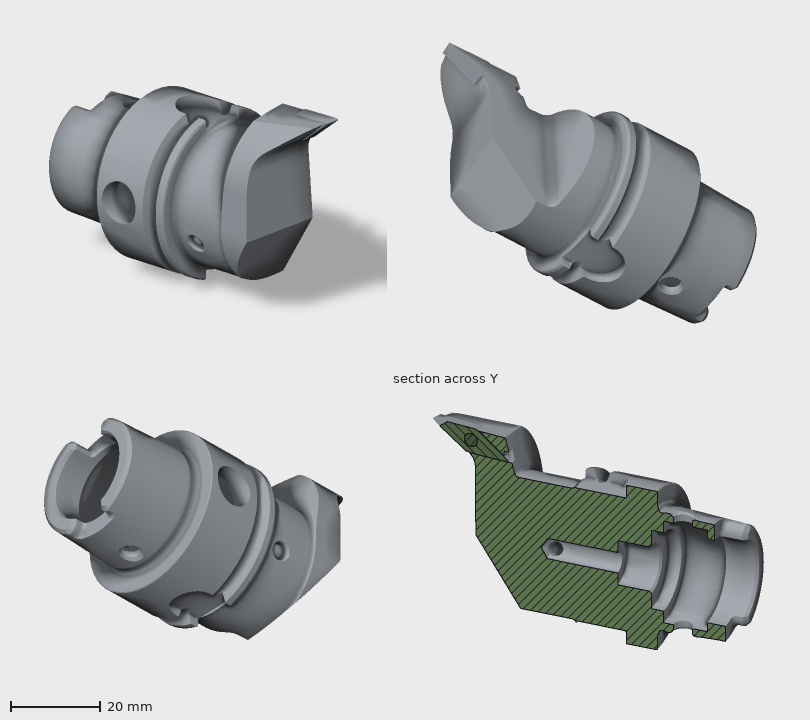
import cadquery as cq
import math


shank_length = 20.0
shank_end_radius = 14.2
shank_base_radius = 15.05
shank_base_x = -2.2
end_chamfer = 0.75
undercut_radius = 29.7 / 2
undercut_start_x = -1.3
undercut_end_x = -1.0
undercut_fillet = 0.64
face_relief_radius = 16.2

flange_radius = 20.0
flange_length = 20.0
flange_chamfer = 0.2
rim_fillet = 0.75
groove_radius = 17.3
groove_mouth_start = 13.9
groove_mouth_end = 17.9
groove_flank_run = 1.05
groove_fillet = 0.75
neck_radius = 33.0 / 2
neck_fillet = 1.0

bore_radius = 10.5
bore_chamfer = 0.45
bore_chamfer_length = 0.75
clamp_groove_radius = 12.7
clamp_groove_start_x = -12.1
clamp_groove_end_x = -1.5
floor_bore_radius = 9.8
floor_x = 1.5
tube_bore_radius = 11.0 / 2
tube_bore_chamfer = 0.5
tube_bore_end_x = 9.7
coolant_radius = 5.0 / 2
coolant_end_x = 27.0
drill_point_angle = 118.0
drill_cone_length = coolant_radius / math.tan(math.radians(drill_point_angle / 2))

drive_half_width = 4.0
drive_lip_z = 12.8
drive_lip_radius = 2.4
drive_floor_fillet = 1.0
drive_chamfer = 1.0
upper_drive_depth = 6.15
lower_drive_depth = 3.4

cross_hole_x = -6.15
cross_hole_radius = 4.6 / 2
cross_hole_mouth_radius = 2.8
cross_hole_wall_radius = 14.7
keyway_radius = 11.0 / 2
keyway_centre_x = 13.25
keyway_floor_z = 16.8
recess_x = 6.8
recess_radius = 10.0 / 2
recess_depth = 5.0
recess_fillet = 0.3

outlet_x = 25.8
outlet_angle = 21.6
outlet_mouth_radius = 5.0 / 2
outlet_radius = 4.2 / 2
channel_radius = 3.4 / 2
ball_radius = 3.8 / 2
ball_centre_distance = 14.1

head_start_x = 32.95
head_radius = 17.0
head_arc_z = 9.95
head_back_angle = 15.0
head_back_x = 34.75
head_front_x = 44.95
head_slope = 1.5
head_draft = 3.6
head_edge_radius = 4.5
head_nose_setback = 0.45
head_nose_drop = 0.11
head_reach = 44.95
head_depth = 37.45

rake_y = 5.25
rake_slope_x = -0.06
rake_slope_z = -0.08
relief_top_x = 26.4
relief_corner_x = 29.7
relief_corner_fillet = 2.25
relief_wall_depth = 12.0

tip = (55.1, 27.0)
inscribed_radius = 6.4 / 2
tip_angle = 35.0
tip_heading = 20.6
tip_radius = 0.3
insert_thickness = 3.15
insert_clearance = 5.0
half_tip = math.radians(tip_angle / 2)
insert_half_length = inscribed_radius / math.sin(half_tip)
insert_half_width = inscribed_radius / math.cos(half_tip)
tip_setback = insert_half_length - tip_radius * (1 / math.sin(half_tip) - 1)
insert_centre = (
    tip[0] - tip_setback * math.cos(math.radians(tip_heading)),
    tip[1] - tip_setback * math.sin(math.radians(tip_heading)),
)

notch_end_x = 37.8
notch_bottom_z = 19.9
notch_top_z = 22.4

screw_head_radius = 3.8 / 2
screw_hole_radius = 2.8 / 2
screw_radius = 2.5 / 2
screw_head_length = 1.1
screw_length = 7.5
tap_radius = 2.0 / 2
tap_depth = 10.55

rake_plane = cq.Plane(
    origin=(0, rake_y, 0),
    xDir=(1, rake_slope_x, 0),
    normal=(rake_slope_x, -1, rake_slope_z),
)


def rod(radius, length, start, direction):
    """A cylinder along any direction."""
    return cq.Workplane(cq.Solid.makeCylinder(radius, length, cq.Vector(*start), cq.Vector(*direction)))


def cone(start_radius, end_radius, length, start, direction):
    """A truncated cone along any direction."""
    return cq.Workplane(
        cq.Solid.makeCone(start_radius, end_radius, length, cq.Vector(*start), cq.Vector(*direction))
    )


def revolve_about_axis(outline):
    """Closes an outline drawn above the tool axis and turns it around that axis."""
    return outline.close().revolve(360, (0, 0, 0), (1, 0, 0))


def turned_body():
    """Taper shank, flange with its gripper groove, and the start of the front cylinder."""
    end_slope = (shank_base_radius - shank_end_radius) / (shank_length + shank_base_x)
    groove_floor_start = groove_mouth_start + groove_flank_run
    groove_floor_end = groove_mouth_end - groove_flank_run
    flank_angle = math.atan(groove_flank_run / (flange_radius - groove_radius))
    tangent_length = groove_fillet * math.tan((math.pi / 2 - flank_angle) / 2)
    flank_foot_run = tangent_length * math.sin(flank_angle)
    flank_foot_radius = groove_radius + tangent_length * math.cos(flank_angle)
    outline = (
        cq.Workplane("XY")
        .moveTo(-shank_length, 0)
        .lineTo(-shank_length, shank_end_radius - end_chamfer)
        .lineTo(-shank_length + end_chamfer, shank_end_radius + end_slope * end_chamfer)
        .lineTo(shank_base_x, shank_base_radius)
        .lineTo(undercut_start_x, undercut_radius)
        .lineTo(undercut_end_x, undercut_radius)
        .tangentArcPoint(
            (undercut_end_x + undercut_fillet, undercut_radius + undercut_fillet), relative=False
        )
        .lineTo(0, face_relief_radius)
        .lineTo(0, flange_radius - flange_chamfer)
        .lineTo(flange_chamfer, flange_radius)
        .lineTo(groove_mouth_start, flange_radius)
        .lineTo(groove_floor_start - flank_foot_run, flank_foot_radius)
        .tangentArcPoint((groove_floor_start + tangent_length, groove_radius), relative=False)
        .lineTo(groove_floor_end - tangent_length, groove_radius)
        .tangentArcPoint((groove_floor_end + flank_foot_run, flank_foot_radius), relative=False)
        .lineTo(groove_mouth_end, flange_radius)
        .lineTo(flange_length - rim_fillet, flange_radius)
        .tangentArcPoint((flange_length, flange_radius - rim_fillet), relative=False)
        .lineTo(flange_length, neck_radius + neck_fillet)
        .tangentArcPoint((flange_length + neck_fillet, neck_radius), relative=False)
        .lineTo(head_start_x, neck_radius)
        .lineTo(head_start_x, 0)
    )
    return revolve_about_axis(outline)


def head_blank():
    """Front cylinder that flares out along a cone into the tall tool head."""
    back = math.radians(head_back_angle)
    tangent_length = neck_fillet * math.tan((math.pi / 2 - back) / 2)
    cone_rise = head_reach - neck_radius
    outline = (
        cq.Workplane("XY")
        .moveTo(head_start_x, 0)
        .lineTo(head_start_x, neck_radius)
        .lineTo(head_back_x - tangent_length, neck_radius)
        .tangentArcPoint(
            (
                head_back_x + tangent_length * math.sin(back),
                neck_radius + tangent_length * math.cos(back),
            ),
            relative=False,
        )
        .lineTo(head_back_x + cone_rise * math.tan(back), head_reach)
        .lineTo(2 * head_reach, head_reach)
        .lineTo(2 * head_reach, 0)
    )
    cross_section = (
        cq.Workplane("YZ", origin=(head_start_x, 0, 0))
        .moveTo(-head_radius, 0)
        .threePointArc((0, -head_radius), (head_radius, 0))
        .lineTo(head_radius, head_arc_z)
        .threePointArc((0, head_arc_z + head_radius), (-head_radius, head_arc_z))
        .close()
        .extrude(head_reach)
    )
    return revolve_about_axis(outline).intersect(cross_section)


def head_side():
    """Side shape of the head, narrowing away from the rake face."""
    top_slope = math.tan(math.radians(tip_heading - tip_angle / 2))
    lead_slope = math.tan(math.radians(tip_heading + tip_angle / 2))
    nose_x = tip[0] - head_nose_setback
    nose_z = tip[1] - head_nose_drop
    back_x = head_start_x - head_depth
    slope_bottom_z = -head_depth
    slope_bottom_x = head_front_x + slope_bottom_z / head_slope
    lead_z = nose_z - (nose_x - head_front_x) * lead_slope
    lead_turn = math.pi / 2 - math.atan(lead_slope)
    tangent_length = head_edge_radius * math.tan(lead_turn / 2)
    return (
        cq.Workplane(rake_plane)
        .moveTo(nose_x, nose_z)
        .lineTo(back_x, nose_z - (nose_x - back_x) * top_slope)
        .lineTo(back_x, slope_bottom_z)
        .lineTo(slope_bottom_x, slope_bottom_z)
        .lineTo(head_front_x, 0)
        .lineTo(head_front_x, lead_z - tangent_length)
        .tangentArcPoint(
            (
                head_front_x + tangent_length * math.sin(lead_turn),
                lead_z + tangent_length * math.cos(lead_turn),
            ),
            relative=False,
        )
        .close()
        .extrude(head_depth, taper=head_draft)
    )


def rake_relief():
    """Clears everything in front of the rake face, with a sloped wall and a round inner corner."""
    relief_plane = cq.Plane(
        origin=(0, rake_y, 0),
        xDir=(1, rake_slope_x, 0),
        normal=rake_plane.yDir,
    )
    far = 2 * head_depth
    inner_corner = relief_plane.toWorldCoords((relief_corner_x, 0, 0))
    wall_run = relief_corner_x - relief_top_x
    return (
        cq.Workplane(relief_plane)
        .moveTo(relief_corner_x, 0)
        .lineTo(far, 0)
        .lineTo(far, far)
        .lineTo(relief_corner_x - wall_run * far / relief_wall_depth, far)
        .close()
        .extrude(head_depth, both=True)
        .edges(cq.selectors.NearestToPointSelector(inner_corner.toTuple()))
        .fillet(relief_corner_fillet)
    )


def shank_bore():
    """Stepped bore: clamping groove, floor step, coolant tube seat and a drilled coolant hole."""
    outline = (
        cq.Workplane("XY")
        .moveTo(-shank_length, 0)
        .lineTo(-shank_length, bore_radius + bore_chamfer)
        .lineTo(-shank_length + bore_chamfer_length, bore_radius)
        .lineTo(clamp_groove_start_x, bore_radius)
        .lineTo(clamp_groove_start_x, clamp_groove_radius)
        .lineTo(clamp_groove_end_x, clamp_groove_radius)
        .lineTo(clamp_groove_end_x, floor_bore_radius)
        .lineTo(floor_x, floor_bore_radius)
        .lineTo(floor_x, tube_bore_radius + tube_bore_chamfer)
        .lineTo(floor_x + tube_bore_chamfer, tube_bore_radius)
        .lineTo(tube_bore_end_x, tube_bore_radius)
        .lineTo(tube_bore_end_x, coolant_radius)
        .lineTo(coolant_end_x, coolant_radius)
        .lineTo(coolant_end_x + drill_cone_length, 0)
    )
    return revolve_about_axis(outline)


def drive_slot(depth):
    """Upper drive slot: rounded side lips, a filleted floor and a chamfered mouth."""

    def profile():
        lip_centre_y = drive_half_width + drive_lip_radius
        lip_centre_z = drive_lip_z - drive_lip_radius
        lip_middle_y = lip_centre_y - drive_lip_radius * math.sqrt(0.5)
        lip_middle_z = lip_centre_z + drive_lip_radius * math.sqrt(0.5)
        return (
            cq.Workplane("YZ", origin=(-shank_length, 0, 0))
            .moveTo(-drive_half_width, 0)
            .lineTo(-drive_half_width, lip_centre_z)
            .threePointArc((-lip_middle_y, lip_middle_z), (-lip_centre_y, drive_lip_z))
            .lineTo(-flange_radius, drive_lip_z)
            .lineTo(-flange_radius, flange_radius)
            .lineTo(flange_radius, flange_radius)
            .lineTo(flange_radius, drive_lip_z)
            .lineTo(lip_centre_y, drive_lip_z)
            .threePointArc((lip_middle_y, lip_middle_z), (drive_half_width, lip_centre_z))
            .lineTo(drive_half_width, 0)
            .close()
        )

    slot = profile().extrude(depth).faces(">X").edges().fillet(drive_floor_fillet)
    mouth = profile().offset2D(drive_chamfer, "intersection").extrude(drive_chamfer, taper=45)
    return slot.union(mouth)


def cross_hole():
    """One half of the radial hole through the shank, countersunk outside."""
    countersink_start = cross_hole_wall_radius - cross_hole_mouth_radius + cross_hole_radius
    mouth_top = countersink_start + cross_hole_radius
    return (
        cq.Workplane("YZ", origin=(cross_hole_x, 0, 0))
        .lineTo(cross_hole_radius, 0)
        .lineTo(cross_hole_radius, countersink_start)
        .lineTo(2 * cross_hole_radius, mouth_top)
        .lineTo(0, mouth_top)
        .close()
        .revolve(360, (0, 0, 0), (0, 1, 0))
    )


def keyway():
    """Flat-bottomed keyway with one round end, open toward the front of the flange."""
    round_end = rod(keyway_radius, flange_radius, (keyway_centre_x, 0, keyway_floor_z), (0, 0, 1))
    straight = cq.Workplane("XY", origin=(keyway_centre_x, 0, keyway_floor_z)).rect(
        flange_length - keyway_centre_x, 2 * keyway_radius, centered=(False, True)
    )
    return round_end.union(straight.extrude(flange_radius))


def round_recess():
    """Flat-bottomed round recess in the side of the flange."""
    floor_y = -flange_radius + recess_depth
    recess = rod(recess_radius, flange_radius, (recess_x, floor_y, 0), (0, -1, 0))
    return recess.faces(">Y").edges().fillet(recess_fillet)


outlet_direction = (
    0,
    -math.cos(math.radians(outlet_angle)),
    -math.sin(math.radians(outlet_angle)),
)


def along_outlet(distance):
    """The point on the outlet axis at a distance from the tool axis."""
    return (outlet_x, outlet_direction[1] * distance, outlet_direction[2] * distance)


def coolant_outlet():
    """Radial coolant channel with a seat for the ball and a countersunk mouth."""
    seat_drop = math.sqrt(ball_radius**2 - channel_radius**2)
    seat = ball_centre_distance - seat_drop
    mouth = neck_radius - outlet_mouth_radius + outlet_radius
    outlet_plane = cq.Plane(
        origin=(outlet_x, 0, 0),
        xDir=(1, 0, 0),
        normal=(0, -outlet_direction[2], outlet_direction[1]),
    )
    return (
        cq.Workplane(outlet_plane)
        .lineTo(channel_radius, 0)
        .lineTo(channel_radius, seat)
        .lineTo(outlet_radius, seat)
        .lineTo(outlet_radius, mouth)
        .lineTo(2 * outlet_radius, mouth + outlet_radius)
        .lineTo(0, mouth + outlet_radius)
        .close()
        .revolve(360, (0, 0, 0), (0, 1, 0))
    )


def insert_blank():
    """Rhombic plate with rounded acute corners, tapering away from its rake face."""
    tangent_length = tip_radius / math.tan(half_tip)
    tangent_x = insert_half_length - tangent_length * math.cos(half_tip)
    tangent_z = tangent_length * math.sin(half_tip)
    return (
        cq.Workplane(rake_plane)
        .center(*insert_centre)
        .transformed(rotate=(0, 0, tip_heading))
        .moveTo(0, insert_half_width)
        .lineTo(-tangent_x, tangent_z)
        .threePointArc((-tip_setback, 0), (-tangent_x, -tangent_z))
        .lineTo(0, -insert_half_width)
        .lineTo(tangent_x, -tangent_z)
        .threePointArc((tip_setback, 0), (tangent_x, tangent_z))
        .close()
        .extrude(insert_thickness, taper=insert_clearance)
    )


def rear_notch():
    """Notch that opens the insert pocket through the conical back of the head."""
    return (
        cq.Workplane(rake_plane)
        .moveTo(head_start_x, notch_bottom_z)
        .lineTo(notch_end_x, notch_bottom_z)
        .lineTo(notch_end_x, notch_top_z)
        .lineTo(head_start_x, notch_top_z)
        .close()
        .extrude(insert_thickness)
    )


def on_screw_axis(depth):
    """The point on the insert screw axis at a depth below the rake face."""
    return rake_plane.toWorldCoords((*insert_centre, depth)).toTuple()


screw_direction = rake_plane.zDir.toTuple()


def insert_screw():
    """Countersunk screw, flush with the rake face."""
    head = cone(screw_head_radius, screw_radius, screw_head_length, on_screw_axis(0), screw_direction)
    return head.union(rod(screw_radius, screw_length, on_screw_axis(0), screw_direction))


def cutting_insert():
    """Insert plate with its screw hole and the countersink for the screw head."""
    hole = rod(screw_hole_radius, insert_thickness, on_screw_axis(0), screw_direction)
    seat = cone(screw_head_radius, screw_radius, screw_head_length, on_screw_axis(0), screw_direction)
    return insert_blank().cut(hole).cut(seat)


def tool_holder():
    """One-piece holder: shank, flange, neck and tool head with all their cuts."""
    head = head_blank().intersect(head_side())
    holder = turned_body().union(head)
    holder = holder.cut(rake_relief())
    holder = holder.cut(shank_bore())
    upper_slot = drive_slot(upper_drive_depth)
    lower_slot = drive_slot(lower_drive_depth).rotate((0, 0, 0), (1, 0, 0), 180)
    holder = holder.cut(upper_slot).cut(lower_slot)
    lower_hole = cross_hole().rotate((cross_hole_x, 0, 0), (cross_hole_x, 1, 0), 180)
    holder = holder.cut(cross_hole()).cut(lower_hole)
    holder = holder.cut(keyway()).cut(keyway().rotate((0, 0, 0), (1, 0, 0), 180))
    holder = holder.cut(round_recess()).cut(coolant_outlet())
    holder = holder.cut(insert_blank()).cut(rear_notch())
    holder = holder.cut(insert_screw())
    return holder.cut(rod(tap_radius, tap_depth, on_screw_axis(0), screw_direction))


def coolant_ball():
    """Ball resting on the step of the coolant outlet."""
    return cq.Workplane("XY").sphere(ball_radius).translate(along_outlet(ball_centre_distance))


holder = tool_holder()
insert = cutting_insert()
screw = insert_screw()
ball = coolant_ball()
result = cq.Compound.makeCompound([holder.val(), insert.val(), screw.val(), ball.val()])